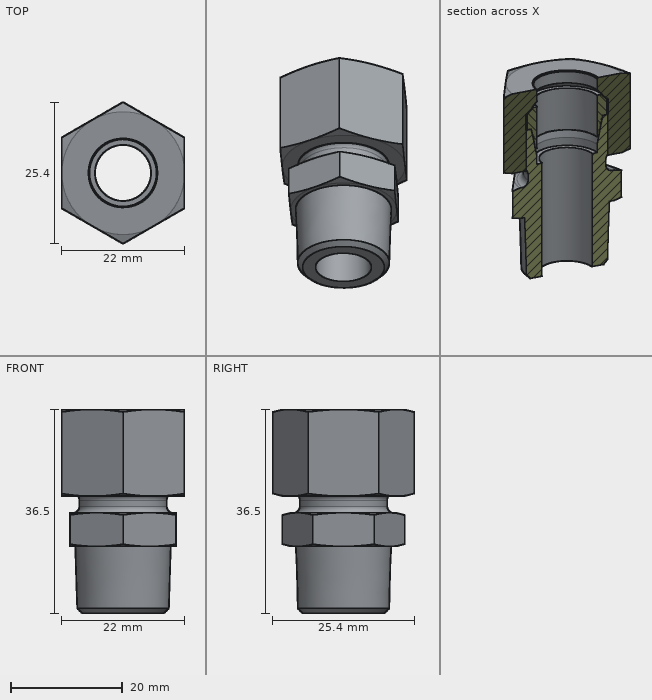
import cadquery as cq
import math

TOTAL_HEIGHT = 36.5
HEX_BOTTOM = 12.0
HEX_TOP = 18.0
NUT_BOTTOM = 21.0
STUB_LENGTH = 11.0
STUB_TOP = HEX_TOP + STUB_LENGTH
SOCKET_DEPTH = 7.0
SOCKET_FLOOR = STUB_TOP - SOCKET_DEPTH

NUT_ACROSS_FLATS = 22.0
HEX_ACROSS_FLATS = 19.0
HEX_CHAMFER_ANGLE = math.radians(15)

TAPER_TOP_DIAMETER = 17.15
TAPER_RATIO = 1 / 16
TIP_CHAMFER = 0.9

FLOW_DIAMETER = 10.0
TUBE_DIAMETER = 12.0

THREAD_DIAMETER = 16.38
UNDERCUT_DIAMETER = 15.7
UNDERCUT_TOP = 20.28
COLLAR_DIAMETER = 18.0
UNDERCUT_FILLET = (COLLAR_DIAMETER - UNDERCUT_DIAMETER) / 2

MOUTH_DIAMETER = 14.3
SEAL_HALF_ANGLE = math.radians(12)

NUT_BORE_CHAMFER = 0.2
NUT_BORE_DEPTH = 2.4
NUT_CONE_TOP = TOTAL_HEIGHT - NUT_BORE_DEPTH

RING_DIAMETER = 16.0
RING_TOP_DEPTH = 3.4
RING_TOP = TOTAL_HEIGHT - RING_TOP_DEPTH
RING_NOSE = 25.0


def revolve_profile(points):
    """Solid of revolution about Z from (radius, height) corner points."""
    return cq.Workplane("XZ").polyline(points).close().revolve(360, (0, 0, 0), (0, 1, 0))


def chamfered_hexagon(across_flats, bottom, top):
    """Hexagonal prism with corners on the Y axis and conically chamfered ends."""
    flat_radius = across_flats / 2
    corner_radius = flat_radius / math.cos(math.pi / 6)
    chamfer_height = (corner_radius - flat_radius) * math.tan(HEX_CHAMFER_ANGLE)
    prism = (
        cq.Workplane("XY", origin=(0, 0, bottom))
        .polygon(6, 2 * corner_radius)
        .extrude(top - bottom)
        .rotate((0, 0, 0), (0, 0, 1), 90)
    )
    envelope = revolve_profile([
        (0, bottom),
        (flat_radius, bottom),
        (corner_radius, bottom + chamfer_height),
        (corner_radius, top - chamfer_height),
        (flat_radius, top),
        (0, top),
    ])
    return prism.intersect(envelope)


def make_tapered_end():
    """Tapered thread below the hexagon, with a chamfered tip."""
    top_radius = TAPER_TOP_DIAMETER / 2
    lower_radius = top_radius - (HEX_BOTTOM - TIP_CHAMFER) * TAPER_RATIO / 2
    return revolve_profile([
        (0, 0),
        (lower_radius - TIP_CHAMFER, 0),
        (lower_radius, TIP_CHAMFER),
        (top_radius, HEX_BOTTOM),
        (0, HEX_BOTTOM),
    ])


def make_stub():
    """Upper threaded stub with an undercut whose two ends share one fillet radius."""
    neck_radius = UNDERCUT_DIAMETER / 2
    thread_radius = THREAD_DIAMETER / 2
    collar_radius = COLLAR_DIAMETER / 2
    fillet_top = HEX_TOP + UNDERCUT_FILLET
    fillet_offset = UNDERCUT_FILLET * (1 - math.sqrt(0.5))
    runout_angle = math.acos(1 - (thread_radius - neck_radius) / UNDERCUT_FILLET)
    runout_middle = (
        neck_radius + UNDERCUT_FILLET * (1 - math.cos(runout_angle / 2)),
        UNDERCUT_TOP + UNDERCUT_FILLET * math.sin(runout_angle / 2),
    )
    runout_top = UNDERCUT_TOP + UNDERCUT_FILLET * math.sin(runout_angle)
    return (
        cq.Workplane("XZ")
        .moveTo(0, HEX_TOP)
        .lineTo(collar_radius, HEX_TOP)
        .threePointArc(
            (neck_radius + fillet_offset, HEX_TOP + fillet_offset),
            (neck_radius, fillet_top),
        )
        .lineTo(neck_radius, UNDERCUT_TOP)
        .threePointArc(runout_middle, (thread_radius, runout_top))
        .lineTo(thread_radius, STUB_TOP)
        .lineTo(0, STUB_TOP)
        .close()
        .revolve(360, (0, 0, 0), (0, 1, 0))
    )


def make_body_bore():
    """Flow bore, tube socket and sealing cone, as one cutter."""
    flow_radius = FLOW_DIAMETER / 2
    tube_radius = TUBE_DIAMETER / 2
    mouth_radius = MOUTH_DIAMETER / 2
    cone_depth = (mouth_radius - tube_radius) / math.tan(SEAL_HALF_ANGLE)
    return revolve_profile([
        (0, 0),
        (flow_radius, 0),
        (flow_radius, SOCKET_FLOOR),
        (tube_radius, SOCKET_FLOOR),
        (tube_radius, STUB_TOP - cone_depth),
        (mouth_radius, STUB_TOP),
        (0, STUB_TOP),
    ])


def make_body():
    hexagon = chamfered_hexagon(HEX_ACROSS_FLATS, HEX_BOTTOM, HEX_TOP)
    return make_tapered_end().union(hexagon).union(make_stub()).cut(make_body_bore())


def make_ring():
    """Cutting ring: nose in the body's sealing cone, shoulder in the nut's 45 degree cone."""
    tube_radius = TUBE_DIAMETER / 2
    mouth_radius = MOUTH_DIAMETER / 2
    ring_radius = RING_DIAMETER / 2
    nose_radius = mouth_radius - (STUB_TOP - RING_NOSE) * math.tan(SEAL_HALF_ANGLE)
    top_radius = tube_radius + NUT_CONE_TOP - RING_TOP
    shoulder_height = NUT_CONE_TOP - (ring_radius - tube_radius)
    return revolve_profile([
        (tube_radius, RING_NOSE),
        (nose_radius, RING_NOSE),
        (mouth_radius, STUB_TOP),
        (ring_radius, STUB_TOP),
        (ring_radius, shoulder_height),
        (top_radius, RING_TOP),
        (tube_radius, RING_TOP),
    ])


def make_nut_bore():
    """Thread hole, 45 degree cone and tube hole, as one cutter."""
    thread_radius = THREAD_DIAMETER / 2
    tube_radius = TUBE_DIAMETER / 2
    return revolve_profile([
        (0, NUT_BOTTOM),
        (thread_radius, NUT_BOTTOM),
        (thread_radius, NUT_CONE_TOP - (thread_radius - tube_radius)),
        (tube_radius, NUT_CONE_TOP),
        (tube_radius, TOTAL_HEIGHT - NUT_BORE_CHAMFER),
        (tube_radius + NUT_BORE_CHAMFER, TOTAL_HEIGHT),
        (0, TOTAL_HEIGHT),
    ])


def make_nut():
    return chamfered_hexagon(NUT_ACROSS_FLATS, NUT_BOTTOM, TOTAL_HEIGHT).cut(make_nut_bore())


body = make_body()
ring = make_ring()
nut = make_nut()

result = cq.Compound.makeCompound([body.val(), ring.val(), nut.val()])